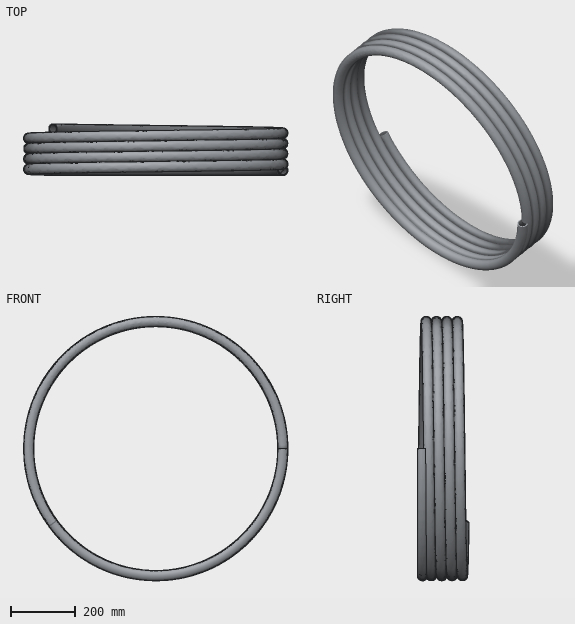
import cadquery as cq

tube_diameter = 32.0
wall_thickness = 3.0
coil_outer_diameter = 820.0
turn_gap = 0.1
helix_turns = 4
lead_in_angle = 144.0

tube_radius = tube_diameter / 2
bore_radius = tube_radius - wall_thickness
coil_radius = (coil_outer_diameter - tube_diameter) / 2
helix_pitch = tube_diameter + turn_gap
helix_height = helix_pitch * helix_turns


def make_lead_in(radius):
    """Round bar bent along a flat arc, starting at +X and lying in the XY plane."""
    return (
        cq.Workplane("XZ")
        .center(coil_radius, 0)
        .circle(radius)
        .revolve(lead_in_angle, (-coil_radius, 0), (-coil_radius, 1))
    )


def make_helix(radius):
    """Round bar wound along the helix, starting where the flat arc ends."""
    path = cq.Wire.makeHelix(helix_pitch, helix_height, coil_radius)
    bar = (
        cq.Workplane("XZ")
        .center(coil_radius, 0)
        .circle(radius)
        .sweep(cq.Workplane(obj=path), isFrenet=True)
    )
    return bar.rotate((0, 0, 0), (0, 0, 1), lead_in_angle)


def make_coil(radius):
    """Whole coiled bar: the flat arc joined to the helix."""
    return make_lead_in(radius).union(make_helix(radius))


tube = make_coil(tube_radius).cut(make_coil(bore_radius))

result = tube.rotate((0, 0, 0), (1, 0, 0), -90)